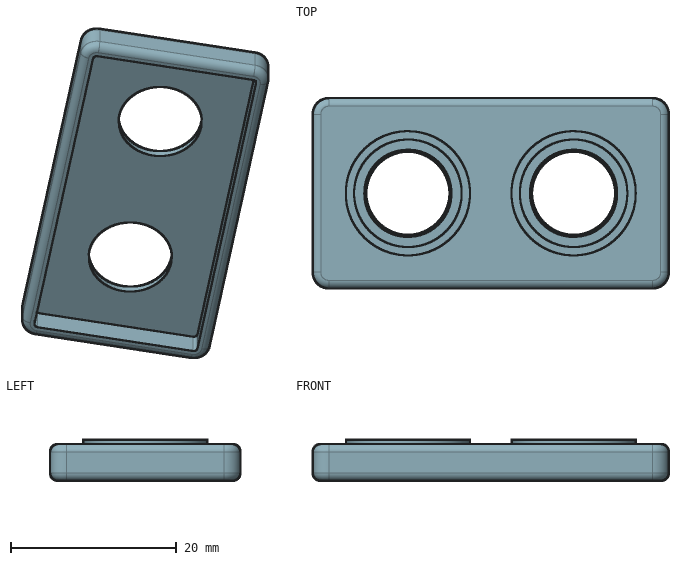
import cadquery as cq

length = 43.0
width = 23.0
total_height = 5.0
ring_height = 0.5
plate_height = total_height - ring_height
corner_radius = 1.98
edge_radius = 1.0

wall = 1.5
web_thickness = 1.38
cavity_corner_radius = corner_radius - wall

opening_spacing = 20.0
opening_diameter = 10.0
opening_chamfer = 0.25
ring_inner_diameter = 13.0
ring_outer_diameter = 15.0
opening_centers = [(-opening_spacing / 2, 0), (opening_spacing / 2, 0)]


def rounded_plate():
    """Solid plate with rounded corners and rounded upper and lower edges."""
    plate = cq.Workplane("XY").box(length, width, plate_height, centered=(True, True, False))
    plate = plate.edges("|Z").fillet(corner_radius)
    return plate.faces("<Z or >Z").edges().fillet(edge_radius)


def underside_cavity():
    """Pocket open at the bottom, leaving side walls and a thin top web."""
    cavity = cq.Workplane("XY").box(
        length - 2 * wall,
        width - 2 * wall,
        plate_height - web_thickness,
        centered=(True, True, False),
    )
    return cavity.edges("|Z").fillet(cavity_corner_radius)


def raised_rings():
    """Low rings standing on the top face around the openings."""
    return (
        cq.Workplane("XY", origin=(0, 0, plate_height))
        .pushPoints(opening_centers)
        .circle(ring_outer_diameter / 2)
        .circle(ring_inner_diameter / 2)
        .extrude(ring_height)
    )


def cut_openings(body):
    """Cut the round openings through the web and chamfer their upper rims."""
    pierced = (
        body.faces(">Z")
        .workplane(origin=(0, 0, plate_height))
        .pushPoints(opening_centers)
        .hole(opening_diameter)
    )
    rims = pierced.faces(">Z").edges("%CIRCLE").edges(cq.selectors.RadiusNthSelector(-1))
    return rims.chamfer(opening_chamfer)


hollow_plate = rounded_plate().cut(underside_cavity())
result = cut_openings(hollow_plate).union(raised_rings())